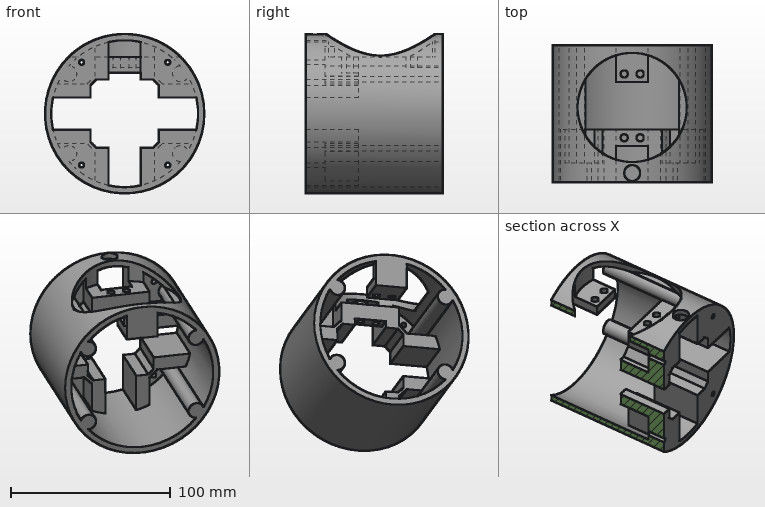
import cadquery as cq

outer_diameter = 100.0
length = 86.0
wall = 4.0
inner_radius = outer_diameter / 2 - wall

disc_thickness = 12.0
block_depth = 33.1
body_arm_width = 37.2
body_corner_chamfer = 5.1

slot_width = 20.0
core_width = 42.6
core_chamfer = 3.5

opening_diameter = 68.4
opening_y = 46.9
opening_floor_z = 35.5

bridge_thickness = 9.9
bracket_thickness = 6.7
bridge_front_y = 22.6
bracket_front_y = 62.9
tab_hole_diameter = 4.5
tab_hole_spacing = 10.0
bridge_hole_y = 27.9
bracket_hole_y = 67.9

rod_diameter = 10.0
rod_x = 35.0
rod_z = 25.0

disc_hole_diameter = 2.9
disc_hole_x = 27.0
disc_hole_z = 32.2
top_hole_diameter = 10.0
top_hole_y = 5.8


def front_plane(start):
    """Workplane in X and Z at y = start; its normal points toward -Y."""
    return cq.Workplane("XZ", origin=(0, start, 0))


def cylinder_y(radius, start, end, x=0.0, z=0.0):
    return front_plane(start).center(x, z).circle(radius).extrude(start - end)


def slab_y(size_x, size_z, start, end):
    return front_plane(start).rect(size_x, size_z).extrude(start - end)


def cylinder_z(diameter, x, y, start, end):
    plane = cq.Workplane("XY", origin=(x, y, start))
    return plane.circle(diameter / 2).extrude(end - start)


def cross(arm_width, start, end):
    """Two crossed bars along X and Z that reach the inside of the tube."""
    bars = slab_y(outer_diameter, arm_width, start, end)
    bars = bars.union(slab_y(arm_width, outer_diameter, start, end))
    return bars.intersect(cylinder_y(inner_radius, start, end))


def chamfered_core(width, chamfer, start, end):
    return slab_y(width, width, start, end).edges("|Y").chamfer(chamfer)


def tab(thickness, start, end):
    """Block one slot wide, from the tab underside up into the tube wall."""
    bottom_z = opening_floor_z - thickness
    height = outer_diameter / 2 - bottom_z
    plane = cq.Workplane("XY", origin=(0, (start + end) / 2, bottom_z))
    box = plane.rect(slot_width, end - start).extrude(height)
    return box.intersect(cylinder_y(inner_radius + wall / 2, start, end))


tube = cylinder_y(outer_diameter / 2, 0, length).cut(cylinder_y(inner_radius, 0, length))
for side in (-1, 1):
    for level in (-1, 1):
        tube = tube.union(cylinder_y(rod_diameter / 2, 0, length, side * rod_x, level * rod_z))

body_core_width = body_arm_width + 2 * body_corner_chamfer
block = cylinder_y(inner_radius, 0, disc_thickness)
block = block.union(cross(body_arm_width, 0, block_depth))
block = block.union(chamfered_core(body_core_width, body_corner_chamfer, 0, block_depth))
part = tube.union(block)

part = part.cut(cross(slot_width, 0, block_depth))
part = part.cut(chamfered_core(core_width, core_chamfer, 0, block_depth))

part = part.union(tab(bridge_thickness, bridge_front_y, block_depth))
part = part.union(tab(bracket_thickness, bracket_front_y, length))

part = part.cut(cylinder_z(opening_diameter, 0, opening_y, opening_floor_z, outer_diameter))

for hole_y in (bridge_hole_y, bracket_hole_y):
    for side in (-1, 1):
        hole_x = side * tab_hole_spacing / 2
        part = part.cut(cylinder_z(tab_hole_diameter, hole_x, hole_y, 0, outer_diameter / 2))

for side in (-1, 1):
    for level in (-1, 1):
        hole = cylinder_y(disc_hole_diameter / 2, 0, disc_thickness, side * disc_hole_x, level * disc_hole_z)
        part = part.cut(hole)

part = part.cut(cylinder_z(top_hole_diameter, 0, top_hole_y, 0, outer_diameter))

result = part